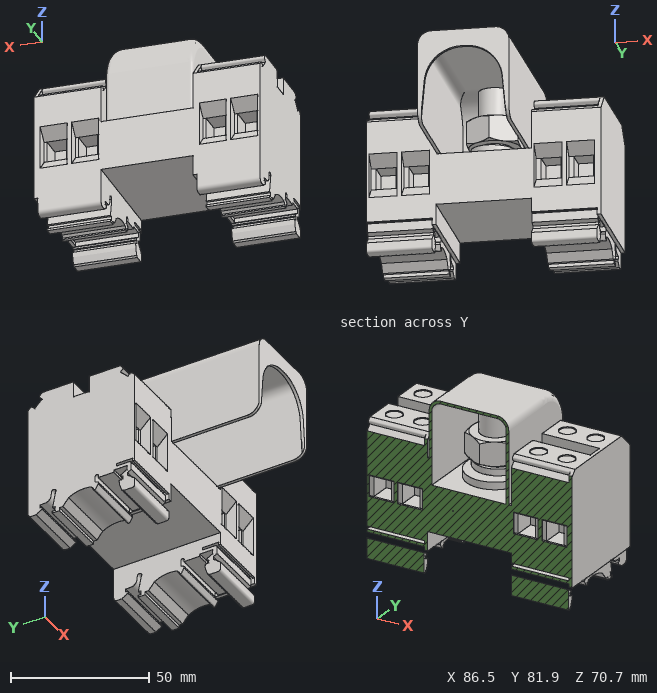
import cadquery as cq
import math


block_width = 24.2
plate_width = 1.5
overall_length = 86.5
block_depth = 45.0
block_height = 56.1
corner_chamfer = 6.05
plate_bottom = 9.25
module_width = block_width + plate_width
right_block_x = overall_length - module_width

groove_width = 4.3
groove_depth = 2.0
groove_lip_radius = 0.8
slot_front = 19.2
slot_width = 6.6
slot_depth = 6.75

screw_diameter = 6.5
screw_depth = 0.4
screw_x = (6.6, 18.5)
screw_inset = 12.4
entry_lefts = (0.95, 13.0)
entry_width = 10.3
entry_bottom = 21.1
entry_height = 16.6
funnel_depth = 4.3
passage_inset = 1.8
passage_width = 7.35
passage_depth = 8.65

base_bottom = 16.95
base_top = 36.2
base_length = right_block_x - module_width

cover_center_x = 43.0
cover_width = 33.7
cover_top = 70.7
cover_front = -36.85
cover_rear = 43.1
cover_edge_radius = 5.0
cover_bend_radius = 14.9
cover_rear_edge_radius = 1.5
bend_core_overlap = 0.9

bend_angles = (0, 22.5, 45, 67.5, 90)
bend_y = cover_rear - cover_bend_radius
bend_z = cover_top - cover_bend_radius

wall = 1.3
cavity_bend_radius = cover_bend_radius - wall
arch_top = 64.2
arch_bottom_width = 31.6
arch_top_width = 26.4
arch_corner_radius = 13.7

strip_top = 46.7
strip_depth = 26.8

stud_y = block_depth / 2
stud_diameter = 12.0
stud_top = 65.75
washer_diameter = 23.7
washer_height = 3.0
spring_outer_diameter = 17.3
spring_inner_diameter = 14.0
spring_thickness = 2.7
nut_flats = 19.0
nut_bottom = 44.4
nut_height = 9.8
nut_chamfer_height = 0.8
contact_overlap = 0.04

ACROSS = cq.Vector(1, 0, 0)


def box(x, y, z, length, depth, height):
    """Box given by its lower left front corner and its size."""
    return cq.Workplane("XY").box(length, depth, height, centered=False).translate((x, y, z))


def side_profile():
    """Workplane whose sketch coordinates are (Y, Z) and whose extrusion runs along +X."""
    return cq.Workplane("YZ")


def block_body():
    """Moulded body with the rail foot and the spring clip along its lower edge."""
    outline = (
        side_profile()
        .moveTo(0, block_height - corner_chamfer)
        .lineTo(corner_chamfer, block_height)
        .lineTo(block_depth - corner_chamfer, block_height)
        .lineTo(block_depth, block_height - corner_chamfer)
        .lineTo(block_depth, 4.3)
        .radiusArc((43.25, 2.6), 1.7)
        .lineTo(41.4, 2.6)
        .lineTo(38.9, 4.2)
        .lineTo(38.9, 5.0)
        .lineTo(39.9, 5.3)
        .lineTo(39.9, 6.3)
        .lineTo(37.3, 6.4)
        .threePointArc((35.8, 7.2), (35.1, 8.9))
        .lineTo(34.95, 10.4)
        .threePointArc((34.0, 11.2), (33.1, 10.4))
        .lineTo(34.5, 3.3)
        .lineTo(33.5, 3.3)
        .lineTo(33.5, 1.7)
        .lineTo(34.7, 1.65)
        .lineTo(34.7, 0.9)
        .lineTo(31.7, 0.9)
        .lineTo(31.7, 2.2)
        .lineTo(30.2, 2.2)
        .lineTo(27.8, 5.2)
        .threePointArc((21.8, 6.9), (18.3, 6.6))
        .lineTo(17.5, 5.7)
        .lineTo(17.5, 5.2)
        .threePointArc((16.95, 4.8), (16.35, 5.0))
        .lineTo(15.3, 6.8)
        .lineTo(15.3, 7.5)
        .lineTo(16.6, 8.2)
        .lineTo(16.6, 10.55)
        .threePointArc((16.0, 11.2), (15.3, 10.55))
        .lineTo(15.3, 9.6)
        .lineTo(8.8, 9.6)
        .lineTo(8.65, 10.55)
        .lineTo(3.3, 10.55)
        .lineTo(3.3, 8.8)
        .lineTo(5.9, 7.3)
        .lineTo(5.9, 6.6)
        .lineTo(5.0, 6.6)
        .lineTo(5.0, 5.45)
        .lineTo(6.6, 5.0)
        .lineTo(6.3, 3.0)
        .lineTo(5.45, 0.5)
        .radiusArc((4.8, 0), -0.7)
        .lineTo(1.0, 0)
        .radiusArc((0, 1.0), 1.0)
        .lineTo(0, 3.9)
        .lineTo(3.0, 6.3)
        .lineTo(3.0, 7.3)
        .lineTo(1.5, 8.2)
        .lineTo(1.5, 11.6)
        .lineTo(2.0, 11.9)
        .lineTo(7.1, 11.9)
        .threePointArc((7.6, 12.5), (7.1, 13.0))
        .lineTo(0.9, 13.0)
        .lineTo(0.9, 11.8)
        .lineTo(0, 11.8)
        .close()
    )
    return outline.extrude(block_width)


def end_plate():
    outline = (
        side_profile()
        .moveTo(0, plate_bottom)
        .lineTo(block_depth, plate_bottom)
        .lineTo(block_depth, block_height - corner_chamfer)
        .lineTo(block_depth - corner_chamfer, block_height)
        .lineTo(corner_chamfer, block_height)
        .lineTo(0, block_height - corner_chamfer)
        .close()
    )
    return outline.extrude(plate_width).translate((block_width, 0, 0))


def mirrored_to_rear(front_feature):
    """The feature together with its mirror image about the block's middle plane."""
    return front_feature.union(front_feature.mirror("XZ", (0, block_depth / 2, 0)))


def marker_groove():
    """Groove with rounded lips, sunk at right angles into the middle of the front chamfer."""
    half = groove_width / 2
    lip = groove_lip_radius
    groove = (
        side_profile()
        .moveTo(-half - lip, 0)
        .radiusArc((-half, -lip), lip)
        .lineTo(-half, -groove_depth)
        .lineTo(half, -groove_depth)
        .lineTo(half, -lip)
        .radiusArc((half + lip, 0), lip)
        .lineTo(half + lip, lip)
        .lineTo(-half - lip, lip)
        .close()
        .extrude(block_width)
    )
    chamfer_middle = (0, corner_chamfer / 2, block_height - corner_chamfer / 2)
    return groove.rotate((0, 0, 0), ACROSS, 45).translate(chamfer_middle)


def wire_entry(left):
    """Funnel with sloping top and bottom that leads into a narrower passage."""
    funnel = (
        side_profile()
        .moveTo(0, entry_bottom)
        .lineTo(funnel_depth, entry_bottom + funnel_depth)
        .lineTo(funnel_depth, entry_bottom + entry_height - funnel_depth)
        .lineTo(0, entry_bottom + entry_height)
        .close()
        .extrude(entry_width)
        .translate((left, 0, 0))
    )
    passage = box(
        left + passage_inset,
        funnel_depth,
        entry_bottom + funnel_depth,
        passage_width,
        passage_depth,
        entry_height - 2 * funnel_depth,
    )
    return funnel.union(passage)


def terminal_block():
    body = block_body().cut(mirrored_to_rear(marker_groove()))
    slot_floor = block_height - slot_depth
    body = body.cut(box(0, slot_front, slot_floor, block_width, slot_width, slot_depth))
    for left in entry_lefts:
        body = body.cut(mirrored_to_rear(wire_entry(left)))
    for x in screw_x:
        recess = (
            cq.Workplane("XY", origin=(x, screw_inset, block_height - screw_depth))
            .circle(screw_diameter / 2)
            .extrude(screw_depth)
        )
        body = body.cut(mirrored_to_rear(recess))
    return body.union(end_plate())


def bend_section(angle):
    """Radial slice of the cover's rear bend, `angle` degrees back from vertical."""
    share = angle / 90
    edge_radius = cover_edge_radius + share * (cover_rear_edge_radius - cover_edge_radius)
    turn = math.radians(angle)
    outward = cq.Vector(0, math.sin(turn), math.cos(turn))
    plane = cq.Plane(
        origin=(cover_center_x, bend_y, bend_z), xDir=ACROSS, normal=ACROSS.cross(outward)
    )
    half = cover_width / 2
    inner = cover_bend_radius - cover_edge_radius - bend_core_overlap
    outer = cover_bend_radius
    return (
        cq.Workplane(plane)
        .moveTo(-half, inner)
        .lineTo(half, inner)
        .lineTo(half, outer - edge_radius)
        .radiusArc((half - edge_radius, outer), -edge_radius)
        .lineTo(-half + edge_radius, outer)
        .radiusArc((-half, outer - edge_radius), -edge_radius)
        .close()
        .wire()
        .val()
    )


def cover_blank():
    """Outside of the cover: straight hood, rear bend and rear wall below the bend."""
    left = cover_center_x - cover_width / 2
    height = cover_top - base_top
    hood = box(left, cover_front, base_top, cover_width, bend_y - cover_front, height)
    hood = hood.edges("|Y and >Z").fillet(cover_edge_radius)
    hood = hood.edges("|X and <Y and <Z").fillet(cover_edge_radius)

    rear_wall = box(left, bend_y, base_top, cover_width, cover_bend_radius, bend_z - base_top)
    rear_wall = rear_wall.edges("|Z and >Y").fillet(cover_rear_edge_radius)

    bend = cq.Workplane(cq.Solid.makeLoft([bend_section(angle) for angle in bend_angles]))
    core_radius = cover_bend_radius - cover_edge_radius
    core = (
        side_profile()
        .moveTo(bend_y, bend_z)
        .lineTo(bend_y, bend_z + core_radius)
        .radiusArc((bend_y + core_radius, bend_z), core_radius)
        .close()
        .extrude(cover_width)
        .translate((left, 0, 0))
    )
    return hood.union(rear_wall).union(core).union(bend)


def cover_cavity():
    """Hollow of even wall thickness, open below, with a rounded upper rear end."""
    front = cover_front + wall
    rear = cover_rear - wall
    top = cover_top - wall
    width = cover_width - 2 * wall
    left = cover_center_x - width / 2
    tunnel = box(left, front, base_top, width, rear - front, top - base_top)
    tunnel = tunnel.edges("|Y and >Z").fillet(cover_edge_radius - wall)
    envelope = (
        side_profile()
        .moveTo(front, base_top)
        .lineTo(front, top)
        .lineTo(bend_y, top)
        .radiusArc((rear, bend_z), cavity_bend_radius)
        .lineTo(rear, base_top)
        .close()
        .extrude(overall_length)
    )
    return tunnel.intersect(envelope)


def front_arch():
    """Tapering opening with large upper corner radii through the cover's front wall."""
    half_bottom = arch_bottom_width / 2
    half_top = arch_top_width / 2
    return (
        cq.Workplane("XZ", origin=(cover_center_x, cover_front, 0))
        .moveTo(-half_bottom, base_top)
        .lineTo(-half_top, arch_top)
        .lineTo(half_top, arch_top)
        .lineTo(half_bottom, base_top)
        .close()
        .extrude(-wall)
        .edges("|Y and >Z")
        .fillet(arch_corner_radius)
    )


def upright_cylinder(diameter, bottom, height):
    """Cylinder on the stud axis."""
    return (
        cq.Workplane("XY", origin=(cover_center_x, stud_y, bottom))
        .circle(diameter / 2)
        .extrude(height)
    )


def nut():
    """Hexagon with corners facing front and rear, its corners turned off conically."""
    corners = nut_flats / math.cos(math.radians(30))
    hexagon = (
        cq.Workplane("XY", origin=(cover_center_x, stud_y, nut_bottom))
        .transformed(rotate=(0, 0, 90))
        .polygon(6, corners)
        .extrude(nut_height)
    )
    turned = upright_cylinder(corners, nut_bottom, nut_height)
    turned = turned.edges().chamfer(nut_chamfer_height, (corners - nut_flats) / 2)
    return hexagon.intersect(turned)


def spring_washer():
    """One left-hand turn of rectangular wire, split at the rear and wound downwards."""
    bottom = base_top + washer_height - contact_overlap
    rise = nut_bottom + contact_overlap - bottom - spring_thickness
    inner = spring_inner_diameter / 2
    wire_width = spring_outer_diameter / 2 - inner
    path = cq.Wire.makeHelix(rise, rise, inner, lefthand=True)
    turn = (
        cq.Workplane("XZ")
        .moveTo(inner, 0)
        .rect(wire_width, spring_thickness, centered=False)
        .sweep(cq.Workplane(path), isFrenet=True)
    )
    turn = turn.rotate((0, 0, 0), (0, 0, 1), 90)
    return turn.translate((cover_center_x, stud_y, bottom + rise))


left_block = terminal_block()
base = box(module_width, 0, base_bottom, base_length, block_depth, base_top - base_bottom)
strip_width = cover_center_x - cover_width / 2 - module_width
strip = box(module_width, 0, base_top, strip_width, strip_depth, strip_top - base_top)

result = (
    left_block.union(left_block.translate((right_block_x, 0, 0)))
    .union(base)
    .union(strip)
    .union(cover_blank().cut(cover_cavity()).cut(front_arch()))
    .union(upright_cylinder(stud_diameter, base_top, stud_top - base_top))
    .union(upright_cylinder(washer_diameter, base_top, washer_height))
    .union(spring_washer())
    .union(nut())
)